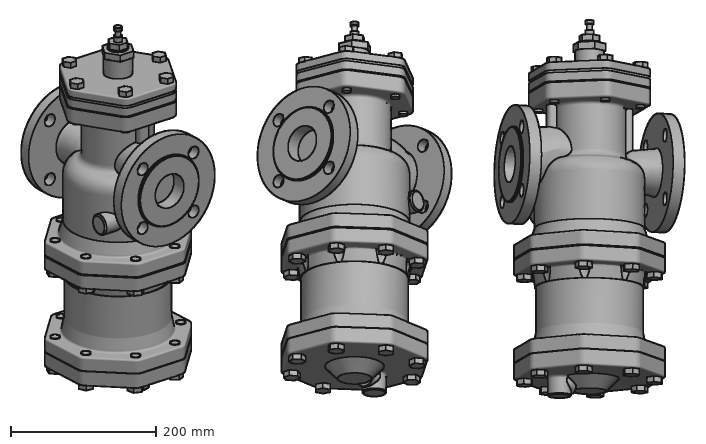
import cadquery as cq
import math

TOP_Z = 529.0
FOOT_FLANGE_BOTTOM_Z = 27.0
FOOT_FLANGE_TOP_Z = 70.5
FOOT_JOINT_Z = 49.5
WAIST_FLANGE_BOTTOM_Z = 173.5
WAIST_FLANGE_TOP_Z = 216.5
WAIST_JOINT_Z = 195.0
COVER_BOTTOM_Z = 407.0
COVER_TOP_Z = 458.5
COVER_LOWER_JOINT_Z = 430.5
COVER_UPPER_JOINT_Z = 445.5

HEXAGON_SIDES = 6
OCTAGON_SIDES = 8

OCTAGON_FLATS = 195.0
OCTAGON_CORNER_RADIUS = 14.0
OCTAGON_EDGE_FILLET = 2.5
OCTAGON_BOLTS = OCTAGON_SIDES
OCTAGON_BOLT_CIRCLE_RADIUS = 90.0
OCTAGON_STUD_DIAMETER = 14.0
OCTAGON_STUD_RISE = 1.0
OCTAGON_HEAD_FLATS = 20.0
OCTAGON_HEAD_HEIGHT = 8.0
OCTAGON_FIRST_ANGLE = 180 / OCTAGON_BOLTS

COVER_FLATS = 152.0
COVER_CORNER_RADIUS = 14.5
COVER_EDGE_FILLET = 2.5
COVER_BOLTS = HEXAGON_SIDES
COVER_BOLT_CIRCLE_RADIUS = 72.0
COVER_STUD_DIAMETER = 12.0
COVER_STUD_DROP = 3.5
COVER_HEAD_FLATS = 18.0
COVER_HEAD_HEIGHT = 8.0
COVER_FIRST_ANGLE = 180 / COVER_BOLTS

JOINT_INSET = 0.5
WIDE_JOINT_GAP = 1.5
NARROW_JOINT_GAP = 0.5

TUBE_RADIUS = 148.0 / 2
COLLAR_RADIUS = 150.0 / 2
FLARE_RADIUS = 78.0
FOOT_FLARE_TOP_Z = 91.0
COLLAR_BOTTOM_Z = 154.5
FLARE_FILLET = 3.5
COLLAR_FILLET = 2.0
COLLAR_CLEARANCE_RADIUS = 15.1
BODY_RADIUS = 152.0 / 2
SKIRT_RADIUS = 81.5
SKIRT_TOP_Z = 237.0
SHOULDER_BOTTOM_Z = 307.5
SHOULDER_TOP_Z = 339.5
SHOULDER_OUTER_RADIUS = 23.0
NECK_RADIUS = 100.5 / 2
NECK_FLARE = 4.0

PORT_Z = 321.0
OVERALL_X = 230.0
RAISED_FACE_HEIGHT = 3.0
RAISED_FACE_DIAMETER = 105.5
RAISED_FACE_CHAMFER = 1.5
PORT_FLANGE_DIAMETER = 164.0
PORT_FLANGE_THICKNESS = 17.0
PORT_BORE_DIAMETER = 50.0
PORT_BORE_DEPTH = 22.0
PORT_HOLES = 4
PORT_HOLE_DIAMETER = 18.0
PORT_HOLE_CIRCLE_RADIUS = 63.0
PORT_HOLE_FIRST_ANGLE = 180 / PORT_HOLES
PORT_FACE_X = OVERALL_X / 2
PORT_BACK_X = PORT_FACE_X - RAISED_FACE_HEIGHT - PORT_FLANGE_THICKNESS

INLET_COLLAR_RADIUS = 34.0
INLET_RADIUS = 32.5
INLET_COLLAR_LENGTH = 5.0
INLET_NOSE_RADIUS = 28.5
INLET_NOSE_X = -61.0
INLET_TIP_RADIUS = 15.5
INLET_TIP_X = -45.5

OUTLET_RADIUS = 34.5
OUTLET_BEND_X = 53.0
OUTLET_NECK_Z = 340.5
OUTLET_CREST_X = 70.0
OUTLET_CREST_TOP_Z = 375.5
OUTLET_CREST_BOTTOM_Z = 295.5
OUTLET_END_X = 89.0
OUTLET_END_TOP_Z = 367.5
OUTLET_END_BOTTOM_Z = 288.0

RIB_OUTER_X = 61.5
RIB_WIDTH = 16.5
RIB_CORNER_RADIUS = 5.5
RIB_BOTTOM_Z = 328.0

PLUG_X = 49.0
PLUG_Z = 266.5
PLUG_DIAMETER = 30.0
PLUG_FACE_Y = -72.5
PLUG_CHAMFER = 2.0

DRAIN_X = 43.5
DRAIN_RADIUS = 16.5
DRAIN_CHAMFER = 1.5
DRAIN_FLARE = 3.5
DRAIN_LINK_RADIUS = 15.5
DRAIN_LINK_Z = 20.0
DRAIN_LINK_START_X = 23.5
SUMP_BOTTOM_Z = 9.5
SUMP_BOTTOM_RADIUS = 23.5

POST_DIAMETER = 40.0
POST_TOP_Z = 485.5
CAP_FLATS = POST_DIAMETER
CAP_TOP_Z = 495.5
WASHER_DIAMETER = 30.0
WASHER_CHAMFER = 1.5
WASHER_TOP_Z = 498.5
NUT_FLATS = 25.0
NUT_TOP_Z = 507.5
STEM_DIAMETER = 12.0
STEM_TOP_Z = 514.5
STEM_WAIST_DIAMETER = 8.0
STEM_WAIST_TOP_Z = 523.0
KNOB_CHAMFER = 1.0

ARC_MIDPOINT = 1 - math.sqrt(0.5)


def cylinder(radius, bottom, top):
    return cq.Workplane("XY").workplane(offset=bottom).circle(radius).extrude(top - bottom)


def hexagon(flats, bottom, top):
    """Hexagonal prism with two flats facing +X and -X."""
    across_corners = flats / math.cos(math.pi / HEXAGON_SIDES)
    prism = cq.Workplane("XY").polygon(HEXAGON_SIDES, across_corners).extrude(top - bottom)
    prism = prism.rotate((0, 0, 0), (0, 0, 1), 180 / HEXAGON_SIDES)
    return prism.translate((0, 0, bottom))


def rounded_plate(sides, flats, corner_radius, bottom, top):
    """Regular prism on the Z axis, one flat facing +X, with rounded upright corners."""
    across_corners = flats / math.cos(math.pi / sides)
    prism = cq.Workplane("XY").polygon(sides, across_corners).extrude(top - bottom)
    prism = prism.edges("|Z").fillet(corner_radius)
    return prism.rotate((0, 0, 0), (0, 0, 1), 180 / sides).translate((0, 0, bottom))


def bolt_pattern(bolt, count, radius, first_angle):
    """Copies of a bolt, modelled on the Z axis, around a bolt circle."""
    bolts = cq.Workplane("XY")
    for index in range(count):
        angle = first_angle + index * 360 / count
        bolts = bolts.add(bolt.translate((radius, 0, 0)).rotate((0, 0, 0), (0, 0, 1), angle))
    return bolts.combine()


def octagon_plate(flats, bottom, top):
    return rounded_plate(OCTAGON_SIDES, flats, OCTAGON_CORNER_RADIUS, bottom, top)


def cover_plate(flats, bottom, top):
    return rounded_plate(HEXAGON_SIDES, flats, COVER_CORNER_RADIUS, bottom, top)


def octagon_flange(bottom, joint, top, gap):
    """Two bolted octagonal plates with a slightly inset gasket between them."""
    lower = octagon_plate(OCTAGON_FLATS, bottom, joint - gap / 2)
    lower = lower.faces("<Z").edges().fillet(OCTAGON_EDGE_FILLET)
    upper = octagon_plate(OCTAGON_FLATS, joint + gap / 2, top)
    upper = upper.faces(">Z").edges().fillet(OCTAGON_EDGE_FILLET)
    gasket = octagon_plate(OCTAGON_FLATS - 2 * JOINT_INSET, joint - gap, joint + gap)
    head = hexagon(OCTAGON_HEAD_FLATS, bottom - OCTAGON_HEAD_HEIGHT, bottom)
    stud = cylinder(OCTAGON_STUD_DIAMETER / 2, bottom, top + OCTAGON_STUD_RISE)
    bolts = bolt_pattern(
        head.union(stud), OCTAGON_BOLTS, OCTAGON_BOLT_CIRCLE_RADIUS, OCTAGON_FIRST_ANGLE
    )
    return lower.union(upper).union(gasket).union(bolts)


def cover():
    """Stack of three hexagonal plates with inset gaskets, bolted from above."""
    half_gap = WIDE_JOINT_GAP / 2
    levels = [COVER_BOTTOM_Z, COVER_LOWER_JOINT_Z, COVER_UPPER_JOINT_Z, COVER_TOP_Z]
    filleted_faces = ["<Z", ">Z", "<Z or >Z"]
    stack = cover_plate(
        COVER_FLATS - 2 * JOINT_INSET,
        COVER_LOWER_JOINT_Z - WIDE_JOINT_GAP,
        COVER_UPPER_JOINT_Z + WIDE_JOINT_GAP,
    )
    for bottom, top, faces in zip(levels, levels[1:], filleted_faces):
        lower_gap = 0 if bottom == COVER_BOTTOM_Z else half_gap
        upper_gap = 0 if top == COVER_TOP_Z else half_gap
        plate = cover_plate(COVER_FLATS, bottom + lower_gap, top - upper_gap)
        stack = stack.union(plate.faces(faces).edges().fillet(COVER_EDGE_FILLET))
    head = hexagon(COVER_HEAD_FLATS, COVER_TOP_Z, COVER_TOP_Z + COVER_HEAD_HEIGHT)
    head = head.rotate((0, 0, 0), (0, 0, 1), COVER_FIRST_ANGLE)
    stud = cylinder(COVER_STUD_DIAMETER / 2, COVER_BOTTOM_Z - COVER_STUD_DROP, COVER_TOP_Z)
    bolts = bolt_pattern(
        head.union(stud), COVER_BOLTS, COVER_BOLT_CIRCLE_RADIUS, COVER_FIRST_ANGLE
    )
    return stack.union(bolts)


def lower_tube():
    """Tube between the two octagonal flanges, flared at both ends."""
    fillet_end = FLARE_RADIUS + FLARE_FILLET
    arc_inset = FLARE_FILLET * ARC_MIDPOINT
    collar_inset = COLLAR_FILLET * ARC_MIDPOINT
    profile = (
        cq.Workplane("XZ")
        .moveTo(0, FOOT_FLANGE_TOP_Z)
        .lineTo(fillet_end, FOOT_FLANGE_TOP_Z)
        .threePointArc(
            (FLARE_RADIUS + arc_inset, FOOT_FLANGE_TOP_Z + arc_inset),
            (FLARE_RADIUS, FOOT_FLANGE_TOP_Z + FLARE_FILLET),
        )
        .lineTo(TUBE_RADIUS, FOOT_FLARE_TOP_Z)
        .lineTo(TUBE_RADIUS, COLLAR_BOTTOM_Z)
        .lineTo(COLLAR_RADIUS, COLLAR_BOTTOM_Z)
        .lineTo(FLARE_RADIUS, WAIST_FLANGE_BOTTOM_Z - COLLAR_FILLET)
        .threePointArc(
            (FLARE_RADIUS + collar_inset, WAIST_FLANGE_BOTTOM_Z - collar_inset),
            (FLARE_RADIUS + COLLAR_FILLET, WAIST_FLANGE_BOTTOM_Z),
        )
        .lineTo(0, WAIST_FLANGE_BOTTOM_Z)
        .close()
    )
    tube = profile.revolve(360, (0, 0, 0), (0, 1, 0))
    clearance = cylinder(COLLAR_CLEARANCE_RADIUS, COLLAR_BOTTOM_Z, WAIST_FLANGE_BOTTOM_Z)
    clearances = bolt_pattern(
        clearance, OCTAGON_BOLTS, OCTAGON_BOLT_CIRCLE_RADIUS, OCTAGON_FIRST_ANGLE
    )
    return tube.cut(clearances)


def upper_body():
    """Skirt, barrel, S-curved shoulder and neck up to the cover."""
    inward = BODY_RADIUS - NECK_RADIUS
    rise = SHOULDER_TOP_Z - SHOULDER_BOTTOM_Z
    sweep = 2 * math.atan2(inward, rise)
    inner_radius = rise / math.sin(sweep) - SHOULDER_OUTER_RADIUS
    outer_centre = BODY_RADIUS - SHOULDER_OUTER_RADIUS
    inner_centre = NECK_RADIUS + inner_radius

    def outer_point(angle):
        return (
            outer_centre + SHOULDER_OUTER_RADIUS * math.cos(angle),
            SHOULDER_BOTTOM_Z + SHOULDER_OUTER_RADIUS * math.sin(angle),
        )

    def inner_point(angle):
        return (
            inner_centre - inner_radius * math.cos(angle),
            SHOULDER_TOP_Z - inner_radius * math.sin(angle),
        )

    skirt_inset = FLARE_FILLET * ARC_MIDPOINT
    neck_inset = NECK_FLARE * ARC_MIDPOINT
    profile = (
        cq.Workplane("XZ")
        .moveTo(0, WAIST_FLANGE_TOP_Z)
        .lineTo(SKIRT_RADIUS + FLARE_FILLET, WAIST_FLANGE_TOP_Z)
        .threePointArc(
            (SKIRT_RADIUS + skirt_inset, WAIST_FLANGE_TOP_Z + skirt_inset),
            (SKIRT_RADIUS, WAIST_FLANGE_TOP_Z + FLARE_FILLET),
        )
        .lineTo(BODY_RADIUS, SKIRT_TOP_Z)
        .lineTo(BODY_RADIUS, SHOULDER_BOTTOM_Z)
        .threePointArc(outer_point(sweep / 2), outer_point(sweep))
        .threePointArc(inner_point(sweep / 2), inner_point(0))
        .lineTo(NECK_RADIUS, COVER_BOTTOM_Z - NECK_FLARE)
        .threePointArc(
            (NECK_RADIUS + neck_inset, COVER_BOTTOM_Z - neck_inset),
            (NECK_RADIUS + NECK_FLARE, COVER_BOTTOM_Z),
        )
        .lineTo(0, COVER_BOTTOM_Z)
        .close()
    )
    return profile.revolve(360, (0, 0, 0), (0, 1, 0))


def port_flange():
    """Flange on the +X side with its raised face and bolt holes."""
    back = cq.Workplane("YZ", origin=(PORT_BACK_X, 0, PORT_Z))
    flange = back.circle(PORT_FLANGE_DIAMETER / 2).extrude(PORT_FLANGE_THICKNESS)
    raised_face = back.circle(RAISED_FACE_DIAMETER / 2).extrude(PORT_FACE_X - PORT_BACK_X)
    raised_face = raised_face.faces(">X").edges().chamfer(RAISED_FACE_CHAMFER)
    holes = (
        back.polarArray(PORT_HOLE_CIRCLE_RADIUS, PORT_HOLE_FIRST_ANGLE, 360, PORT_HOLES)
        .circle(PORT_HOLE_DIAMETER / 2)
        .extrude(PORT_FLANGE_THICKNESS)
    )
    return flange.cut(holes).union(raised_face)


def port_bore():
    start = cq.Workplane("YZ", origin=(PORT_FACE_X - PORT_BORE_DEPTH, 0, PORT_Z))
    return start.circle(PORT_BORE_DIAMETER / 2).extrude(PORT_BORE_DEPTH)


def inlet_pipe():
    """Tapered pipe on the -X side with a rounded nose running into the neck."""
    collar_x = -PORT_BACK_X + INLET_COLLAR_LENGTH
    profile = (
        cq.Workplane("XY")
        .moveTo(-PORT_BACK_X, 0)
        .lineTo(-PORT_BACK_X, INLET_COLLAR_RADIUS)
        .lineTo(collar_x, INLET_RADIUS)
        .lineTo(INLET_NOSE_X, INLET_NOSE_RADIUS)
        .tangentArcPoint((INLET_TIP_X, INLET_TIP_RADIUS), relative=False)
        .lineTo(INLET_TIP_X, 0)
        .close()
    )
    return profile.revolve(360, (0, 0, 0), (1, 0, 0)).translate((0, 0, PORT_Z))


def outlet_section(x, top, bottom):
    """Upright elliptical cross-section of the outlet, centred between two heights."""
    plane = cq.Workplane("YZ", origin=(x, 0, (top + bottom) / 2))
    return plane.ellipse(OUTLET_RADIUS, (top - bottom) / 2)


def outlet_pipe():
    """Level pipe out of the neck, a humped bend, then a level oval end at the +X flange."""
    level = cq.Workplane("YZ", origin=(0, 0, OUTLET_NECK_Z)).circle(OUTLET_RADIUS)
    level = level.extrude(OUTLET_BEND_X)
    sections = [
        outlet_section(OUTLET_BEND_X, OUTLET_NECK_Z + OUTLET_RADIUS, OUTLET_NECK_Z - OUTLET_RADIUS),
        outlet_section(OUTLET_CREST_X, OUTLET_CREST_TOP_Z, OUTLET_CREST_BOTTOM_Z),
        outlet_section(OUTLET_END_X, OUTLET_END_TOP_Z, OUTLET_END_BOTTOM_Z),
    ]
    wires = [section.val() for section in sections]
    bend = cq.Workplane(cq.Solid.makeLoft(wires))
    end = outlet_section(OUTLET_END_X, OUTLET_END_TOP_Z, OUTLET_END_BOTTOM_Z)
    return level.union(bend).union(end.extrude(PORT_BACK_X - OUTLET_END_X))


def passage_ribs():
    """Bar through the neck, leaving a rib with rounded upright corners on each side."""
    height = COVER_BOTTOM_Z - RIB_BOTTOM_Z
    bar = cq.Workplane("XY").box(2 * RIB_OUTER_X, RIB_WIDTH, height, centered=(True, True, False))
    return bar.edges("|Z").fillet(RIB_CORNER_RADIUS).translate((0, 0, RIB_BOTTOM_Z))


def plug():
    """Round plug facing -Y, with a chamfered rim."""
    start = cq.Workplane("XZ", origin=(PLUG_X, 0, PLUG_Z)).circle(PLUG_DIAMETER / 2)
    return start.extrude(-PLUG_FACE_Y).faces("<Y").chamfer(PLUG_CHAMFER)


def sump_and_drain():
    """Sump with 45 degree sides under the foot flange, linked to a drain spout beside it."""
    sump_top_radius = SUMP_BOTTOM_RADIUS + FOOT_FLANGE_BOTTOM_Z - SUMP_BOTTOM_Z
    sump = (
        cq.Workplane("XZ")
        .moveTo(0, FOOT_FLANGE_BOTTOM_Z)
        .lineTo(sump_top_radius, FOOT_FLANGE_BOTTOM_Z)
        .lineTo(SUMP_BOTTOM_RADIUS, SUMP_BOTTOM_Z)
        .lineTo(0, SUMP_BOTTOM_Z)
        .close()
        .revolve(360, (0, 0, 0), (0, 1, 0))
    )
    flare_inset = DRAIN_FLARE * ARC_MIDPOINT
    spout = (
        cq.Workplane("XZ")
        .lineTo(DRAIN_RADIUS - DRAIN_CHAMFER, 0)
        .lineTo(DRAIN_RADIUS, DRAIN_CHAMFER)
        .lineTo(DRAIN_RADIUS, FOOT_FLANGE_BOTTOM_Z - DRAIN_FLARE)
        .threePointArc(
            (DRAIN_RADIUS + flare_inset, FOOT_FLANGE_BOTTOM_Z - flare_inset),
            (DRAIN_RADIUS + DRAIN_FLARE, FOOT_FLANGE_BOTTOM_Z),
        )
        .lineTo(0, FOOT_FLANGE_BOTTOM_Z)
        .close()
        .revolve(360, (0, 0, 0), (0, 1, 0))
        .translate((DRAIN_X, 0, 0))
    )
    link_start = cq.Workplane("YZ", origin=(DRAIN_LINK_START_X, 0, DRAIN_LINK_Z))
    link = link_start.circle(DRAIN_LINK_RADIUS).extrude(DRAIN_X - DRAIN_LINK_START_X)
    link = link.intersect(cylinder(DRAIN_X, 0, FOOT_FLANGE_BOTTOM_Z))
    return sump.union(spout).union(link)


def adjusting_stem():
    """Post on the cover with a hexagonal cap, washer, nut and knobbed stem."""
    post = cylinder(POST_DIAMETER / 2, COVER_TOP_Z, POST_TOP_Z)
    cap = hexagon(CAP_FLATS, POST_TOP_Z, CAP_TOP_Z)
    washer = cylinder(WASHER_DIAMETER / 2, CAP_TOP_Z, WASHER_TOP_Z)
    washer = washer.faces("<Z").chamfer(WASHER_CHAMFER)
    nut = hexagon(NUT_FLATS, WASHER_TOP_Z, NUT_TOP_Z)
    stem = cylinder(STEM_DIAMETER / 2, NUT_TOP_Z, STEM_TOP_Z)
    waist = cylinder(STEM_WAIST_DIAMETER / 2, STEM_TOP_Z, STEM_WAIST_TOP_Z)
    knob = cylinder(STEM_DIAMETER / 2, STEM_WAIST_TOP_Z, TOP_Z).edges().chamfer(KNOB_CHAMFER)
    tower = post
    for piece in (cap, washer, nut, stem, waist, knob):
        tower = tower.union(piece)
    return tower


pieces = [
    octagon_flange(FOOT_FLANGE_BOTTOM_Z, FOOT_JOINT_Z, FOOT_FLANGE_TOP_Z, NARROW_JOINT_GAP),
    lower_tube(),
    octagon_flange(WAIST_FLANGE_BOTTOM_Z, WAIST_JOINT_Z, WAIST_FLANGE_TOP_Z, WIDE_JOINT_GAP),
    cover(),
    inlet_pipe(),
    outlet_pipe(),
    passage_ribs(),
    port_flange(),
    port_flange().mirror("YZ"),
    plug(),
    sump_and_drain(),
    adjusting_stem(),
]
result = upper_body()
for piece in pieces:
    result = result.union(piece)
result = result.cut(port_bore()).cut(port_bore().mirror("YZ"))